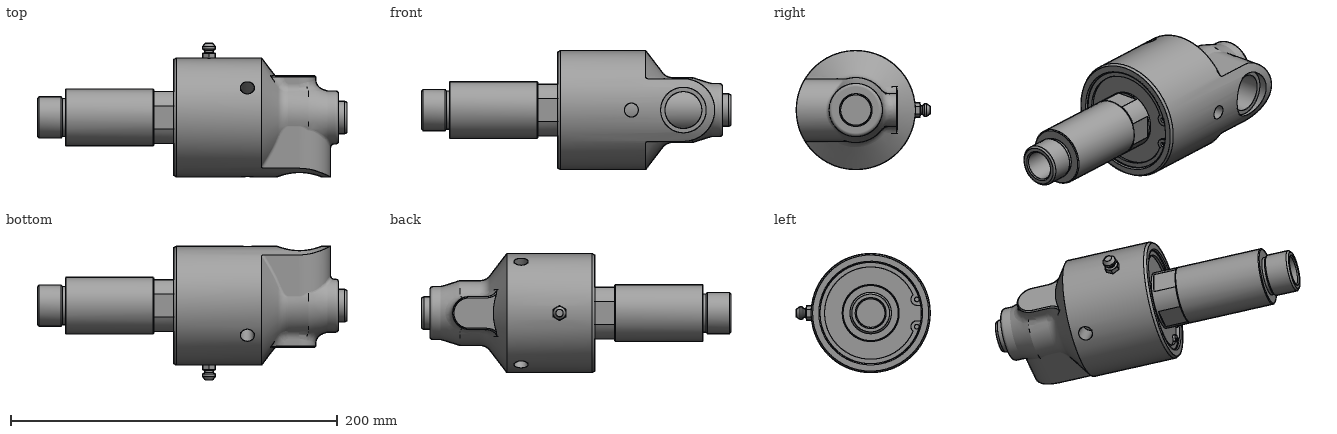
import cadquery as cq
import math


length = 189.6
tip_dia = 25.5
tip_end = 15.5
tip_chamfer = 1.1
relief_dia = 23.5
shoulder_x = 17.0
shaft_dia = 34.9
shaft_chamfer = 0.5
flats_start = 71.3
flats_end = 85.1
flats_across = 31.9
shaft_bore_dia = 17.5
shaft_bore_chamfer = 0.8
shaft_bore_end = 83.5

housing_start = 83.5
housing_end = 137.3
housing_dia = 73.0
housing_chamfer_length = 1.7
housing_chamfer_depth = 1.0
cone_slope = 1.31
neck_dia = 39.8
neck_end = 166.1
neck_fillet = 7.5
collar_start = 177.7
collar_end = 184.5
collar_dia = 32.6
collar_fillet = 2.0
pin_dia = 20.1
pin_chamfer_length = 1.5
pin_chamfer_depth = 0.8

mouth_dia = 62.0
mouth_chamfer = 0.8
mouth_depth = 3.0
ring_inner_dia = 56.5
ring_thickness = 1.5
lug_radius = 3.6
lug_y = -28.3
lug_z = 8.3
lug_hole_dia = 2.8

blend_start = 117.5
blend_reach = 75.8
edge_margin = 4.7

port_x = 160.5
ear_half_width = 19.2
ear_fillet = 1.9
port_dia = 22.5
port_recess_dia = 27.9
port_recess_floor = 31.5
port_core_dia = 28.5
boss_half_width = 10.0
boss_top = 25.6
boss_fillet = 6.3
boss_chamfer = 0.8

drain_x = 128.5
drain_dia = 8.5
drain_count = 3
drain_core_dia = 34.9

fitting_x = 105.0
fitting_sink = 3.8
fitting_top = 45.6
fitting_hex_sides = 6
fitting_hex_corners = 9.1
fitting_hex_top = 39.3
fitting_waist_radius = 2.7
fitting_waist_bottom = 39.8
fitting_waist_top = 41.0
fitting_cap_radius = 4.0
fitting_cap_bottom = 42.0
fitting_cap_top = 43.5
fitting_tip_radius = 2.3

housing_radius = housing_dia / 2


def x_cylinder(dia, start, end):
    """Cylinder about the X axis."""
    return cq.Workplane("YZ").workplane(offset=start).circle(dia / 2).extrude(end - start)


def y_cylinder(dia, x, start, end):
    """Cylinder parallel to Y, centred at the given X and Z = 0."""
    return cq.Workplane("XZ", origin=(x, start, 0)).circle(dia / 2).extrude(start - end)


def make_shaft():
    """Stepped shaft with four wrench flats next to the housing."""
    shaft = x_cylinder(tip_dia, 0, tip_end).faces("<X or >X").chamfer(tip_chamfer)
    shaft = shaft.union(x_cylinder(relief_dia, tip_end - tip_chamfer, shoulder_x))
    barrel = x_cylinder(shaft_dia, shoulder_x, flats_start).faces("<X or >X").chamfer(shaft_chamfer)
    square = (
        cq.Workplane("YZ")
        .workplane(offset=flats_start)
        .rect(flats_across, flats_across)
        .extrude(flats_end - flats_start)
    )
    flats = x_cylinder(shaft_dia, flats_start, flats_end).intersect(square)
    root = x_cylinder(shaft_dia, flats_end, housing_start + mouth_depth)
    return shaft.union(barrel).union(flats).union(root)


def cone_radius(x):
    """Radius of the housing's tail cone, carried on past both of its ends."""
    return housing_radius - cone_slope * (x - housing_end)


def make_tail_core():
    """Cone, neck, collar; the cone runs on inside the housing so that side blocks can blend with it."""
    neck_radius = neck_dia / 2
    corner_x = housing_end + (housing_radius - neck_radius) / cone_slope
    cone_angle = math.atan(cone_slope)
    setback = neck_fillet * math.tan(cone_angle / 2)
    cone_end = corner_x - setback * math.cos(cone_angle)
    neck_start = corner_x + setback
    fillet_middle = (
        neck_start - neck_fillet * math.sin(cone_angle / 2),
        neck_radius + neck_fillet * (1 - math.cos(cone_angle / 2)),
    )
    core = (
        cq.Workplane("XY")
        .moveTo(blend_start, 0)
        .lineTo(blend_start, cone_radius(blend_start))
        .lineTo(cone_end, cone_radius(cone_end))
        .threePointArc(fillet_middle, (neck_start, neck_radius))
        .lineTo(neck_end, neck_radius)
        .lineTo(collar_start, collar_dia / 2)
        .lineTo(collar_end, collar_dia / 2)
        .lineTo(collar_end, 0)
        .close()
        .revolve(360, (0, 0, 0), (1, 0, 0))
    )
    return core.faces(">X").edges().fillet(collar_fillet)


def rounded_block(half_width, y_start, y_end):
    """Block along X that ends in a half round about the port axis."""
    return (
        cq.Workplane("XZ", origin=(0, y_start, 0))
        .moveTo(blend_start, -half_width)
        .lineTo(port_x, -half_width)
        .threePointArc((port_x + half_width, 0), (port_x, half_width))
        .lineTo(blend_start, half_width)
        .close()
        .extrude(y_start - y_end)
    )


def add_blended(core, block, y_start, y_end, radius):
    """Join a side block to the core and fillet the joint edges, whose middles lie between two Y values."""
    joint_zone = cq.selectors.BoxSelector(
        (blend_start + edge_margin, y_start, -blend_reach), (length, y_end, blend_reach)
    )
    return core.union(block).edges(joint_zone).edges("not(%CIRCLE or |Y)").fillet(radius)


def make_tail():
    """Tail with its port ear, blind boss and end pin."""
    tail = make_tail_core()
    ear = rounded_block(ear_half_width, -blend_reach, 0)
    tail = add_blended(tail, ear, -blend_reach, -edge_margin, ear_fillet)
    tail_without_boss = tail
    boss = rounded_block(boss_half_width, 0, blend_reach)
    tail = add_blended(tail, boss, edge_margin, blend_reach - edge_margin, boss_fillet)
    above_boss = cq.Workplane("XY").box(length, blend_reach, 2 * blend_reach).translate(
        (length / 2, boss_top + blend_reach / 2, 0)
    )
    tail = tail.cut(above_boss.cut(tail_without_boss))
    tail = tail.intersect(x_cylinder(housing_dia, housing_end, length))
    rim = cq.selectors.BoxSelector(
        (port_x, boss_top - boss_chamfer, -blend_reach), (length, boss_top + boss_chamfer, blend_reach)
    )
    tail = tail.edges(rim).chamfer(boss_chamfer)
    pin = x_cylinder(pin_dia, collar_end, length).faces(">X").chamfer(pin_chamfer_length, pin_chamfer_depth)
    return tail.union(pin)


def make_housing():
    """Drum with its front mouth and the split retaining ring that sits in it."""
    drum = x_cylinder(housing_dia, housing_start, housing_end)
    drum = drum.faces("<X").chamfer(housing_chamfer_length, housing_chamfer_depth)
    mouth = x_cylinder(mouth_dia, housing_start, housing_start + mouth_depth)
    mouth_edge = drum.cut(mouth).faces("<X").edges("%CIRCLE").edges(cq.selectors.RadiusNthSelector(0))
    drum = mouth_edge.chamfer(mouth_chamfer)

    ring_start = housing_start + mouth_depth - ring_thickness
    band = cq.Workplane("YZ").workplane(offset=ring_start)
    ring = band.circle(mouth_dia / 2).circle(ring_inner_dia / 2).extrude(ring_thickness)
    gap = band.center(-housing_radius / 2, 0).rect(housing_radius, 2 * lug_z).extrude(ring_thickness)
    lug_points = [(lug_y, lug_z), (lug_y, -lug_z)]
    lugs = band.pushPoints(lug_points).circle(lug_radius).extrude(ring_thickness)
    bridge_points = [((lug_y - housing_radius) / 2, z) for _, z in lug_points]
    lug_bridges = (
        band.pushPoints(bridge_points)
        .rect(housing_radius + lug_y, 2 * lug_radius)
        .extrude(ring_thickness)
    )
    lug_holes = band.pushPoints(lug_points).circle(lug_hole_dia / 2).extrude(ring_thickness)
    ring = ring.cut(gap).union(lugs).union(lug_bridges).intersect(mouth).cut(lug_holes)
    return drum.union(ring)


def make_fitting():
    """Hexagonal grease fitting with a waisted, coned head."""
    base_y = housing_radius - fitting_sink
    hexagon = (
        cq.Workplane("XZ", origin=(fitting_x, base_y, 0))
        .transformed(rotate=(0, 0, 90))
        .polygon(fitting_hex_sides, fitting_hex_corners)
        .extrude(base_y - fitting_hex_top)
    )
    head = (
        cq.Workplane("XY", origin=(fitting_x, 0, 0))
        .moveTo(0, fitting_hex_top)
        .lineTo(fitting_cap_radius, fitting_hex_top)
        .lineTo(fitting_waist_radius, fitting_waist_bottom)
        .lineTo(fitting_waist_radius, fitting_waist_top)
        .lineTo(fitting_cap_radius, fitting_cap_bottom)
        .lineTo(fitting_cap_radius, fitting_cap_top)
        .lineTo(fitting_tip_radius, fitting_top)
        .lineTo(0, fitting_top)
        .close()
        .revolve(360, (0, 0, 0), (0, 1, 0))
    )
    return hexagon.union(head)


def port_cut():
    """Stepped side port that stops on the round inner core."""
    bore = y_cylinder(port_dia, port_x, -housing_radius, 0)
    bore = bore.cut(x_cylinder(port_core_dia, 0, length))
    recess = y_cylinder(port_recess_dia, port_x, -housing_radius, -port_recess_floor)
    return bore.union(recess)


def drain_cuts():
    """Radial holes spaced round the housing, the first one facing -Y; they stop on the inner core."""
    hole = y_cylinder(drain_dia, drain_x, -housing_radius, 0)
    hole = hole.cut(x_cylinder(drain_core_dia, 0, length))
    cuts = hole
    for index in range(1, drain_count):
        cuts = cuts.union(hole.rotate((0, 0, 0), (1, 0, 0), index * 360 / drain_count))
    return cuts


def shaft_bore_cut():
    """Blind bore in the shaft tip with a chamfered mouth."""
    bore = x_cylinder(shaft_bore_dia, 0, shaft_bore_end)
    mouth_cone = (
        cq.Workplane("YZ")
        .circle(shaft_bore_dia / 2 + shaft_bore_chamfer)
        .workplane(offset=shaft_bore_chamfer)
        .circle(shaft_bore_dia / 2)
        .loft()
    )
    return bore.union(mouth_cone)


result = make_housing().union(make_tail()).union(make_shaft()).union(make_fitting())
result = result.cut(port_cut()).cut(drain_cuts()).cut(shaft_bore_cut())